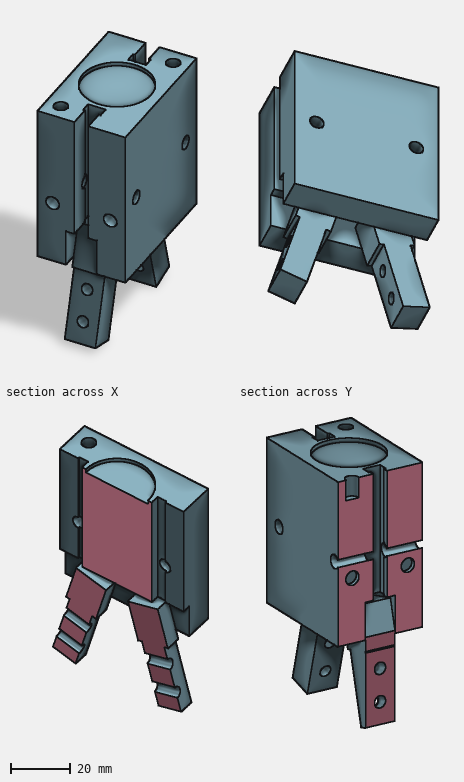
import cadquery as cq
import math

BODY_X = 33.6
BODY_Y = 52.1
BODY_Z = 60.5

CHANNEL_WIDTH = 11.8
CHANNEL_HEIGHT = 13.9

SLOT_NECK_WIDTH = 5.3
SLOT_HEAD_WIDTH = 6.7
SLOT_HEAD_START = 7.7
SLOT_DEPTH = 11.4

RECESS_DIAMETER = 26.0
RECESS_DEPTH = 1.5
HOLE_DIAMETER = 5.0
BLIND_DEPTH = 7.5
HOLE_X = 11.0
TOP_HOLE_Y = 20.0
FRONT_HOLE_Z = 24.0

CROSS_HOLE_Y = 18.0
CROSS_HOLE_Z = 30.5

SWING_ANGLE = 15.0
FINGER_INNER_OFFSET = 8.3
FINGER_THICKNESS = 10.0
INNER_STEP = 1.7
OUTER_STEP = 1.5
FINGER_HEAD_TOP = 7.3
FINGER_STEP_Z = -9.2
FINGER_HOLE_DIAMETER = 4.2
FINGER_HOLE_PITCH = 11.85
FINGER_HOLE_TO_TIP = 8.1

TOTAL_HEIGHT = 93.3
swing = math.radians(SWING_ANGLE)
drop_below_housing = TOTAL_HEIGHT - BODY_Z
FINGER_TIP_Z = -(drop_below_housing + FINGER_INNER_OFFSET * math.sin(swing)) / math.cos(swing)


def box(size_x, y_min, y_max, z_min, z_max):
    """Box centred on X = 0 between the given Y and Z limits."""
    size_y = y_max - y_min
    size_z = z_max - z_min
    corner = (-size_x / 2, y_min, z_min)
    return cq.Workplane("XY").box(size_x, size_y, size_z, centered=False).translate(corner)


def rod(diameter, length, start, direction):
    """Cylinder that runs from a start point along a direction."""
    solid = cq.Solid.makeCylinder(diameter / 2, length, cq.Vector(*start), cq.Vector(*direction))
    return cq.Workplane(obj=solid)


def t_slot():
    """T-slot in the -Y end, from the channel roof to the top face."""
    end_y = -BODY_Y / 2
    head_y = end_y + SLOT_HEAD_START
    neck = box(SLOT_NECK_WIDTH, end_y, head_y, CHANNEL_HEIGHT, BODY_Z)
    head = box(SLOT_HEAD_WIDTH, head_y, end_y + SLOT_DEPTH, CHANNEL_HEIGHT, BODY_Z)
    return neck.union(head)


def make_housing():
    housing = box(BODY_X, -BODY_Y / 2, BODY_Y / 2, 0, BODY_Z)
    housing = housing.cut(box(CHANNEL_WIDTH, -BODY_Y / 2, BODY_Y / 2, 0, CHANNEL_HEIGHT))
    for turn in (0, 180):
        housing = housing.cut(t_slot().rotate((0, 0, 0), (0, 0, 1), turn))

    recess_floor = (0, 0, BODY_Z - RECESS_DEPTH)
    housing = housing.cut(rod(RECESS_DIAMETER, RECESS_DEPTH, recess_floor, (0, 0, 1)))

    for side in (-1, 1):
        top_start = (side * HOLE_X, side * TOP_HOLE_Y, BODY_Z)
        housing = housing.cut(rod(HOLE_DIAMETER, BLIND_DEPTH, top_start, (0, 0, -1)))
        front_start = (side * HOLE_X, -BODY_Y / 2, FRONT_HOLE_Z)
        housing = housing.cut(rod(HOLE_DIAMETER, BLIND_DEPTH, front_start, (0, 1, 0)))
        cross_start = (-BODY_X / 2, side * CROSS_HOLE_Y, CROSS_HOLE_Z)
        housing = housing.cut(rod(HOLE_DIAMETER, BODY_X, cross_start, (1, 0, 0)))
    return housing


def make_finger():
    """The -Y finger: a thicker head, a straight jaw and two holes, swung outward."""
    inner_y = -FINGER_INNER_OFFSET
    outer_y = inner_y - FINGER_THICKNESS
    jaw = box(CHANNEL_WIDTH, outer_y, inner_y, FINGER_TIP_Z, FINGER_STEP_Z)
    head = box(
        CHANNEL_WIDTH, outer_y - OUTER_STEP, inner_y + INNER_STEP, FINGER_STEP_Z, FINGER_HEAD_TOP
    )
    finger = head.union(jaw)
    for index in range(2):
        hole_z = FINGER_TIP_Z + FINGER_HOLE_TO_TIP + index * FINGER_HOLE_PITCH
        hole_start = (0, outer_y, hole_z)
        finger = finger.cut(rod(FINGER_HOLE_DIAMETER, FINGER_THICKNESS, hole_start, (0, 1, 0)))
    return finger.rotate((0, 0, 0), (1, 0, 0), -SWING_ANGLE)


housing = make_housing()
fingers = [make_finger().rotate((0, 0, 0), (0, 0, 1), turn) for turn in (0, 180)]

result = cq.Compound.makeCompound([housing.val(), *[finger.val() for finger in fingers]])